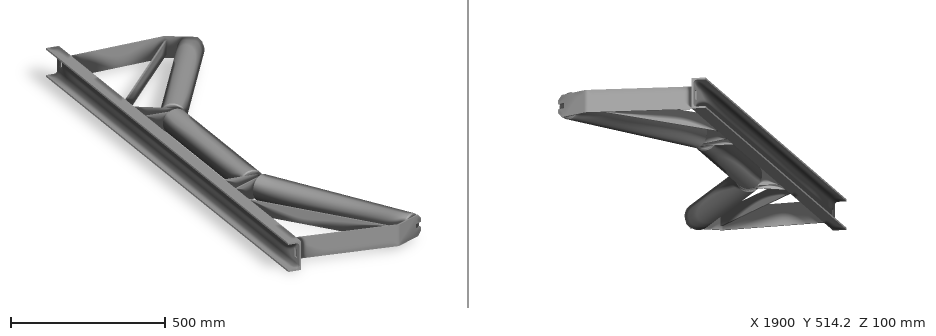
import cadquery as cq
import math

CHANNEL_LENGTH = 1900.0
CHANNEL_HEIGHT = 100.0
CHANNEL_DEPTH = 45.0
CHANNEL_WALL = 6.0
CHANNEL_FILLET = 10.5

MOUNT_SLOT_WIDTH = 17.0
MOUNT_SLOT_HEIGHT = 30.0
MOUNT_SLOT_INSET = 28.0

ROLLER_DIAMETER = 90.0
ROLLER_LENGTH = 605.0
ROLLER_END_CHAMFER = 4.0
SPINDLE_LENGTH = 627.0
SPINDLE_WIDTH = 17.0
SPINDLE_HEIGHT = 19.0

CENTRE_AXIS_Y = 120.0
WING_ANGLE = 30.0
WING_MID_X = 605.0
WING_MID_Y = 281.0

INNER_BRACKET_WIDTH = 65.0
OUTER_BRACKET_WIDTH = 75.0
BAR_THICKNESS = 6.0

BRIDGE_TOP_Y = 142.0

HEAD_BELOW_AXIS = 87.0
HEAD_ABOVE_AXIS = 36.0
HEAD_CHAMFER = 15.0
BEND_RADIUS = 19.0
LEG_FOOT_X = 885.0

STAY_WIDTH = 50.0
STAY_FOOT_X = 455.0

COS_WING = math.cos(math.radians(WING_ANGLE))
SIN_WING = math.sin(math.radians(WING_ANGLE))


def wing_point(along, above):
    """XY point at a distance along the +X wing axis and above that axis."""
    x = WING_MID_X + along * COS_WING - above * SIN_WING
    y = WING_MID_Y + along * SIN_WING + above * COS_WING
    return (x, y)


def wing_point_at_height(along, y):
    """XY point at height y on the line square to the +X wing axis."""
    above = (y - WING_MID_Y - along * SIN_WING) / COS_WING
    return wing_point(along, above)


def place_on_wing(body):
    """Move a body built about the origin along X onto the +X wing axis."""
    return body.rotate((0, 0, 0), (0, 0, 1), WING_ANGLE).translate((WING_MID_X, WING_MID_Y, 0))


def extrude_outline(points, width):
    """Extrude an XY outline symmetrically about Z = 0."""
    return cq.Workplane("XY", origin=(0, 0, -width / 2)).polyline(points).close().extrude(width)


def both_sides(body):
    """The body on the +X side and its mirror image on the -X side."""
    return [body, body.mirror("YZ")]


def make_channel():
    half_height = CHANNEL_HEIGHT / 2
    inner_half = half_height - CHANNEL_WALL
    profile = [
        (0, -half_height),
        (0, half_height),
        (-CHANNEL_DEPTH, half_height),
        (-CHANNEL_DEPTH, inner_half),
        (-CHANNEL_WALL, inner_half),
        (-CHANNEL_WALL, -inner_half),
        (-CHANNEL_DEPTH, -inner_half),
        (-CHANNEL_DEPTH, -half_height),
    ]
    start = (-CHANNEL_LENGTH / 2, 0, 0)
    channel = cq.Workplane("YZ", origin=start).polyline(profile).close().extrude(CHANNEL_LENGTH)
    for corner_z in (-inner_half, inner_half):
        inner_corner = cq.selectors.NearestToPointSelector((0, -CHANNEL_WALL, corner_z))
        channel = channel.edges("|X").edges(inner_corner).fillet(CHANNEL_FILLET)
    slot_x = CHANNEL_LENGTH / 2 - MOUNT_SLOT_INSET
    slots = (
        cq.Workplane("XZ")
        .pushPoints([(-slot_x, 0), (slot_x, 0)])
        .rect(MOUNT_SLOT_WIDTH, MOUNT_SLOT_HEIGHT)
        .extrude(CHANNEL_DEPTH)
    )
    return channel.cut(slots)


def make_roller():
    """Roller centred on the origin with its axis along X."""
    shell = (
        cq.Workplane("YZ", origin=(-ROLLER_LENGTH / 2, 0, 0))
        .circle(ROLLER_DIAMETER / 2)
        .extrude(ROLLER_LENGTH)
        .edges()
        .chamfer(ROLLER_END_CHAMFER)
    )
    spindle = cq.Workplane("XY").box(SPINDLE_LENGTH, SPINDLE_HEIGHT, SPINDLE_WIDTH)
    return shell.union(spindle)


def make_spindle_slot():
    """Cutter along X, from the underside of a spindle on the origin up past the bar tips."""
    bottom = -SPINDLE_HEIGHT / 2
    top = ROLLER_DIAMETER
    height = top - bottom
    return (
        cq.Workplane("XY")
        .box(SPINDLE_LENGTH, height, SPINDLE_WIDTH)
        .translate((0, (top + bottom) / 2, 0))
    )


def make_inner_bracket():
    """Bent bar: upright leg at the centre roller, short bridge, leg square to the wing roller."""
    outer = SPINDLE_LENGTH / 2
    inner = outer - BAR_THICKNESS
    under_bridge = BRIDGE_TOP_Y - BAR_THICKNESS
    outline = [
        (inner, 0),
        (inner, BRIDGE_TOP_Y),
        wing_point_at_height(-inner, BRIDGE_TOP_Y),
        wing_point_at_height(-inner, 0),
        wing_point_at_height(-outer, 0),
        wing_point_at_height(-outer, under_bridge),
        (outer, under_bridge),
        (outer, 0),
    ]
    bracket = extrude_outline(outline, INNER_BRACKET_WIDTH)
    slot = make_spindle_slot()
    return bracket.cut(slot.translate((0, CENTRE_AXIS_Y, 0))).cut(place_on_wing(slot))


def outer_bracket_corner():
    """XY point where the inner faces of the outer bracket's head and leg meet, before rounding."""
    outer = SPINDLE_LENGTH / 2
    bend_x, bend_y = wing_point(outer, -HEAD_BELOW_AXIS)
    leg_lean = math.atan2(bend_x - LEG_FOOT_X, bend_y)
    bend_angle = math.radians(WING_ANGLE) + leg_lean
    rise = BAR_THICKNESS * math.tan(bend_angle / 2)
    return wing_point(outer - BAR_THICKNESS, rise - HEAD_BELOW_AXIS)


def make_outer_bracket():
    """Bent bar: head plate square to the wing roller above a leg that leans outward."""
    outer = SPINDLE_LENGTH / 2
    inner = outer - BAR_THICKNESS
    bend = wing_point(outer, -HEAD_BELOW_AXIS)
    corner = outer_bracket_corner()
    leg_slope = (bend[0] - LEG_FOOT_X) / bend[1]
    outline = [
        wing_point(outer, HEAD_ABOVE_AXIS),
        bend,
        (LEG_FOOT_X, 0),
        (corner[0] - corner[1] * leg_slope, 0),
        corner,
        wing_point(inner, HEAD_ABOVE_AXIS),
    ]
    bracket = extrude_outline(outline, OUTER_BRACKET_WIDTH)
    bend_edge = cq.selectors.NearestToPointSelector((*bend, 0))
    bracket = bracket.edges(bend_edge).fillet(BEND_RADIUS)
    along_wing = cq.selectors.ParallelDirSelector(cq.Vector(COS_WING, SIN_WING, 0))
    bracket = bracket.edges(along_wing).chamfer(HEAD_CHAMFER)
    return bracket.cut(place_on_wing(make_spindle_slot()))


def make_stay():
    """Slanting bar from the web to the inner corner of the outer bracket."""
    corner_x, corner_y = outer_bracket_corner()
    slope = math.atan2(corner_y, corner_x - STAY_FOOT_X)
    foot_length = BAR_THICKNESS / math.sin(slope)
    head_angle = math.radians(90 + WING_ANGLE)
    head_contact = BAR_THICKNESS / math.sin(head_angle - slope)
    outline = [
        (STAY_FOOT_X, 0),
        (corner_x, corner_y),
        (corner_x - head_contact * SIN_WING, corner_y + head_contact * COS_WING),
        (STAY_FOOT_X - foot_length, 0),
    ]
    return extrude_outline(outline, STAY_WIDTH)


channel = make_channel()
centre_roller = make_roller().translate((0, CENTRE_AXIS_Y, 0))
wing_rollers = both_sides(place_on_wing(make_roller()))
inner_brackets = both_sides(make_inner_bracket())
outer_brackets = both_sides(make_outer_bracket())
stays = both_sides(make_stay())

bodies = [channel, centre_roller, *wing_rollers, *inner_brackets, *outer_brackets, *stays]
result = cq.Compound.makeCompound([body.val() for body in bodies])